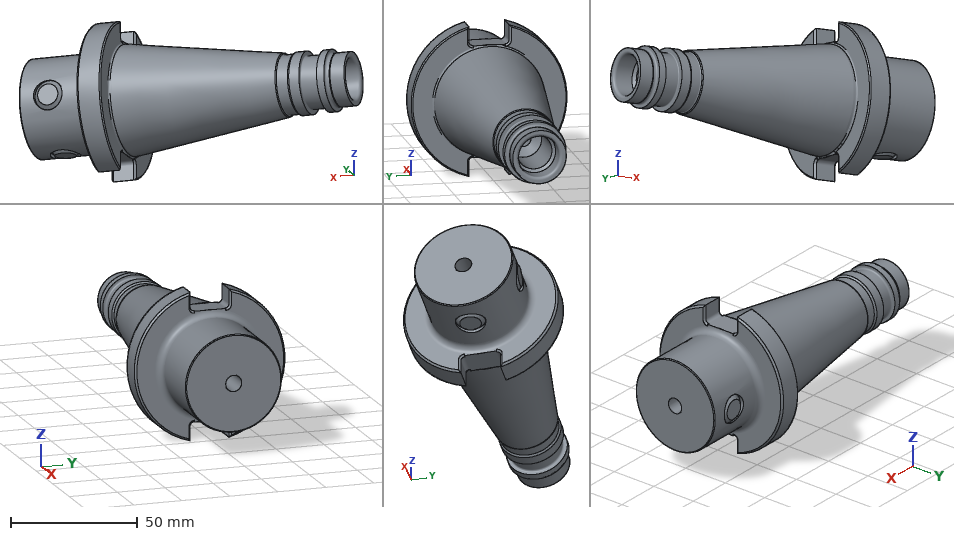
import cadquery as cq
import math

LENGTH = 133.4
TAIL_STEP_X = 5.9
TAIL_STEP_LENGTH = 0.4
RING_FRONT_X = 7.9
RING_BACK_X = 11.0
COLLAR_FRONT_X = 18.3
COLLAR_BACK_X = 23.0
TAPER_START_X = 28.3
TAPER_END_X = 93.2
FLANGE_FRONT_X = 94.8
FLANGE_THICKNESS = 10.1
FLANGE_BACK_X = FLANGE_FRONT_X + FLANGE_THICKNESS

TAIL_RADIUS = 10.8
GROOVE_RADIUS = 10.7
RING_RADIUS = 12.4
COLLAR_RADIUS = 12.7
NECK_RADIUS = 12.0
TAPER_HALF_SLOPE = 3.5 / 24
TAPER_BIG_RADIUS = 22.3
TAPER_SMALL_RADIUS = TAPER_BIG_RADIUS - TAPER_HALF_SLOPE * (TAPER_END_X - TAPER_START_X)
FLANGE_DIAMETER = 62.8
FLANGE_RADIUS = FLANGE_DIAMETER / 2
NOSE_RADIUS = 20.0

RING_FILLET = 0.8
COLLAR_FILLET = 0.4
COLLAR_CHAMFER = 0.4
TAPER_CHAMFER = 0.4
FLANGE_FRONT_FILLET = 0.7
FLANGE_BACK_FILLET = 2.8
NOSE_CHAMFER = 0.4
FLANGE_FRONT_CHAMFER = 0.5
FLANGE_BACK_CHAMFER = 0.8

SLOT_WIDTH = 16.1
SLOT_FLOOR_HEIGHT = 22.7
SLOT_CORNER_RADIUS = 1.6
SLOT_EDGE_CHAMFER = 0.8

CLEARANCE_RADIUS = 8.3
CLEARANCE_DEPTH = 8.5
MOUTH_FILLET = 1.2
THREAD_RADIUS = 7.1
THREAD_DEPTH = 29.3
THROUGH_RADIUS = 3.3
DRILL_POINT_ANGLE = 118.0

SCREW_X = 121.3
SCREW_RADIUS = 6.0
SCREW_LENGTH = 12.0
SCREW_CHAMFER = 1.7
SCREW_DIRECTIONS = [(0, 1, 0), (0, 0, -1)]


def make_shank():
    """Revolved body from tail to nose, without the flange disc."""
    groove_top = GROOVE_RADIUS + RING_FILLET
    collar_foot = GROOVE_RADIUS + COLLAR_FILLET
    neck_foot = NECK_RADIUS + COLLAR_FILLET
    outline = (
        cq.Workplane("XY")
        .lineTo(0, TAIL_RADIUS)
        .lineTo(TAIL_STEP_X, TAIL_RADIUS)
        .lineTo(TAIL_STEP_X + TAIL_STEP_LENGTH, GROOVE_RADIUS)
        .lineTo(RING_FRONT_X - RING_FILLET, GROOVE_RADIUS)
        .tangentArcPoint((RING_FRONT_X, groove_top), relative=False)
        .lineTo(RING_FRONT_X, RING_RADIUS)
        .lineTo(RING_BACK_X, RING_RADIUS)
        .lineTo(RING_BACK_X, groove_top)
        .tangentArcPoint((RING_BACK_X + RING_FILLET, GROOVE_RADIUS), relative=False)
        .lineTo(COLLAR_FRONT_X - COLLAR_FILLET, GROOVE_RADIUS)
        .tangentArcPoint((COLLAR_FRONT_X, collar_foot), relative=False)
        .lineTo(COLLAR_FRONT_X, COLLAR_RADIUS)
        .lineTo(COLLAR_BACK_X - COLLAR_CHAMFER, COLLAR_RADIUS)
        .lineTo(COLLAR_BACK_X, neck_foot)
        .tangentArcPoint((COLLAR_BACK_X + COLLAR_FILLET, NECK_RADIUS), relative=False)
        .lineTo(TAPER_START_X - TAPER_CHAMFER - COLLAR_FILLET, NECK_RADIUS)
        .tangentArcPoint((TAPER_START_X - TAPER_CHAMFER, neck_foot), relative=False)
        .lineTo(TAPER_START_X, TAPER_SMALL_RADIUS)
        .lineTo(TAPER_END_X, TAPER_BIG_RADIUS)
        .lineTo(FLANGE_FRONT_X - FLANGE_FRONT_FILLET, TAPER_BIG_RADIUS)
        .tangentArcPoint((FLANGE_FRONT_X, TAPER_BIG_RADIUS + FLANGE_FRONT_FILLET), relative=False)
        .lineTo(FLANGE_FRONT_X, TAPER_BIG_RADIUS)
        .lineTo(FLANGE_BACK_X, TAPER_BIG_RADIUS)
        .lineTo(FLANGE_BACK_X, NOSE_RADIUS + FLANGE_BACK_FILLET)
        .radiusArc((FLANGE_BACK_X + FLANGE_BACK_FILLET, NOSE_RADIUS), -FLANGE_BACK_FILLET)
        .lineTo(LENGTH - NOSE_CHAMFER, NOSE_RADIUS)
        .lineTo(LENGTH, NOSE_RADIUS - NOSE_CHAMFER)
        .lineTo(LENGTH, 0)
        .close()
    )
    return outline.revolve(360, (0, 0), (1, 0))


def make_flange():
    """Flange disc with two opposite drive slots, chamfered on both faces."""
    front_plane = cq.Workplane("YZ", origin=(FLANGE_FRONT_X, 0, 0))
    disc = front_plane.circle(FLANGE_RADIUS).extrude(FLANGE_THICKNESS)
    disc = disc.faces("<X").edges().chamfer(FLANGE_FRONT_CHAMFER)
    disc = disc.faces(">X").edges().chamfer(FLANGE_BACK_CHAMFER)
    for side in (1, -1):
        slot = (
            cq.Workplane("XY")
            .box(FLANGE_THICKNESS, SLOT_WIDTH, FLANGE_RADIUS, centered=(False, True, False))
            .edges("|X and <Z")
            .fillet(SLOT_CORNER_RADIUS)
            .translate((FLANGE_FRONT_X, 0, SLOT_FLOOR_HEIGHT))
        )
        if side < 0:
            slot = slot.mirror("XY")
        disc = disc.cut(slot)
    for face in ("<X", ">X"):
        disc = disc.faces(face).edges("|Z").chamfer(SLOT_EDGE_CHAMFER)
    floor_width = SLOT_WIDTH - 2 * SLOT_CORNER_RADIUS
    floors = (
        cq.Workplane("XY")
        .box(FLANGE_THICKNESS, floor_width, 2 * SLOT_FLOOR_HEIGHT, centered=(False, True, True))
        .translate((FLANGE_FRONT_X, 0, 0))
    )
    return disc.union(floors)


def make_bore():
    """Tool that cuts the stepped bore along the whole axis."""
    mouth_radius = CLEARANCE_RADIUS + MOUTH_FILLET
    chamfer_length = CLEARANCE_RADIUS - THREAD_RADIUS
    point_length = (THREAD_RADIUS - THROUGH_RADIUS) / math.tan(math.radians(DRILL_POINT_ANGLE / 2))
    outline = (
        cq.Workplane("XY")
        .lineTo(0, mouth_radius)
        .radiusArc((MOUTH_FILLET, CLEARANCE_RADIUS), -MOUTH_FILLET)
        .lineTo(CLEARANCE_DEPTH, CLEARANCE_RADIUS)
        .lineTo(CLEARANCE_DEPTH + chamfer_length, THREAD_RADIUS)
        .lineTo(THREAD_DEPTH, THREAD_RADIUS)
        .lineTo(THREAD_DEPTH + point_length, THROUGH_RADIUS)
        .lineTo(LENGTH, THROUGH_RADIUS)
        .lineTo(LENGTH, 0)
        .close()
    )
    return outline.revolve(360, (0, 0), (1, 0))


def make_screw_blank(direction):
    """Plain cylinder that reaches from the bottom of a screw hole to the nose surface."""
    axis = cq.Vector(*direction)
    inner_end = cq.Vector(SCREW_X, 0, 0) + axis * (NOSE_RADIUS - SCREW_LENGTH)
    plane = cq.Plane(origin=inner_end, xDir=(1, 0, 0), normal=axis)
    return cq.Workplane(plane).circle(SCREW_RADIUS).extrude(SCREW_LENGTH)


def make_screw(direction):
    """Clamping screw whose chamfered end face is level with the nose surface."""
    outer_end = cq.Vector(SCREW_X, 0, 0) + cq.Vector(*direction) * NOSE_RADIUS
    end_face = cq.selectors.NearestToPointSelector(outer_end.toTuple())
    return make_screw_blank(direction).faces(end_face).chamfer(SCREW_CHAMFER)


def make_holder():
    """Tool holder with its flange, bore and screw holes."""
    holder = make_shank().union(make_flange()).cut(make_bore())
    for direction in SCREW_DIRECTIONS:
        holder = holder.cut(make_screw_blank(direction))
    return holder


holder = make_holder()
screws = [make_screw(direction) for direction in SCREW_DIRECTIONS]

result = cq.Compound.makeCompound([holder.val(), *[screw.val() for screw in screws]])